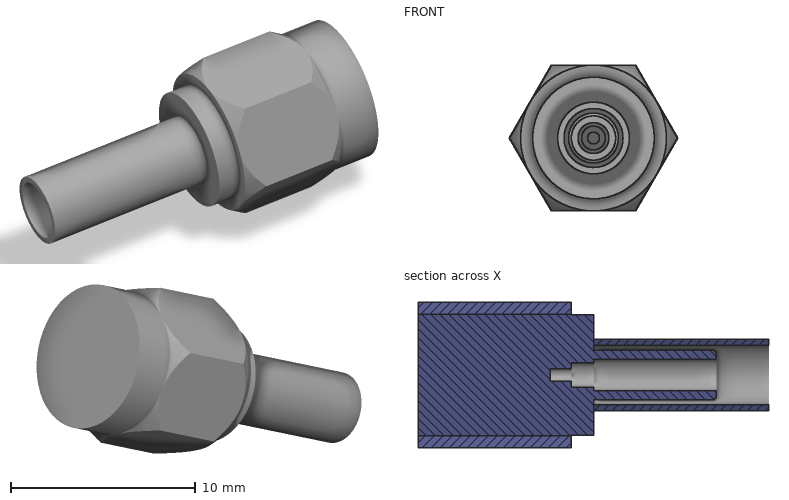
import cadquery as cq
import math

LENGTH = 19.1

ACROSS_FLATS = 7.93
COLLAR_LENGTH = 2.27
HEX_LENGTH = 6.1
CORNER_CHAMFER = 1.0
ACROSS_CORNERS = ACROSS_FLATS / math.cos(math.pi / 6)
COLLAR_RADIUS = ACROSS_FLATS / 2

SHOULDER_RADIUS = 3.3
SHOULDER_LENGTH = 1.22
BARREL_RADIUS = 1.35
BARREL_CHAMFER = 0.15
BARREL_RECESS = 2.86
BORE_RADIUS = 0.84
DIELECTRIC_RADIUS = 0.65
CONTACT_RADIUS = 0.32
CONTACT_DEPTH = 1.15

SLEEVE_RADIUS = 1.95
SLEEVE_BORE_RADIUS = 1.6

HEX_FRONT = LENGTH - COLLAR_LENGTH
HEX_REAR = HEX_FRONT - HEX_LENGTH
SHOULDER_REAR = HEX_REAR - SHOULDER_LENGTH


def cylinder(radius, start, end):
    """Cylinder on the Y axis between two stations."""
    return (
        cq.Workplane("XZ", origin=(0, start, 0))
        .circle(radius)
        .extrude(start - end)
    )


def chamfered_hexagon():
    """Hexagon with flats facing +Z and -Z and its corners turned to a cone at both ends."""
    hexagon = (
        cq.Workplane("XZ", origin=(0, HEX_REAR, 0))
        .polygon(6, ACROSS_CORNERS)
        .extrude(-HEX_LENGTH)
    )
    corner_radius = ACROSS_CORNERS / 2
    turned_envelope = (
        cq.Workplane("XY")
        .moveTo(0, HEX_REAR)
        .lineTo(COLLAR_RADIUS, HEX_REAR)
        .lineTo(corner_radius, HEX_REAR + CORNER_CHAMFER)
        .lineTo(corner_radius, HEX_FRONT - CORNER_CHAMFER)
        .lineTo(COLLAR_RADIUS, HEX_FRONT)
        .lineTo(0, HEX_FRONT)
        .close()
        .revolve(360, (0, 0, 0), (0, 1, 0))
    )
    return hexagon.intersect(turned_envelope)


def make_nut():
    """Hexagon and round collar, bored right through for the connector body."""
    collar = cylinder(COLLAR_RADIUS, HEX_FRONT, LENGTH)
    bore = cylinder(SHOULDER_RADIUS, HEX_REAR, LENGTH)
    return chamfered_hexagon().union(collar).cut(bore)


def make_body():
    """Round shoulder carrying a chamfered barrel, with a stepped bore from the cable end."""
    shoulder = cylinder(SHOULDER_RADIUS, SHOULDER_REAR, LENGTH)
    barrel = (
        cylinder(BARREL_RADIUS, BARREL_RECESS, SHOULDER_REAR)
        .faces("<Y")
        .chamfer(BARREL_CHAMFER)
    )
    bore = cylinder(BORE_RADIUS, BARREL_RECESS, SHOULDER_REAR)
    dielectric_hole = cylinder(DIELECTRIC_RADIUS, SHOULDER_REAR, HEX_REAR)
    contact_hole = cylinder(CONTACT_RADIUS, HEX_REAR, HEX_REAR + CONTACT_DEPTH)
    return shoulder.union(barrel).cut(bore).cut(dielectric_hole).cut(contact_hole)


def make_sleeve():
    """Plain crimp tube standing on the rear face of the shoulder."""
    bore = cylinder(SLEEVE_BORE_RADIUS, 0, SHOULDER_REAR)
    return cylinder(SLEEVE_RADIUS, 0, SHOULDER_REAR).cut(bore)


nut = make_nut()
body = make_body()
sleeve = make_sleeve()

result = cq.Compound.makeCompound([nut.val(), body.val(), sleeve.val()])